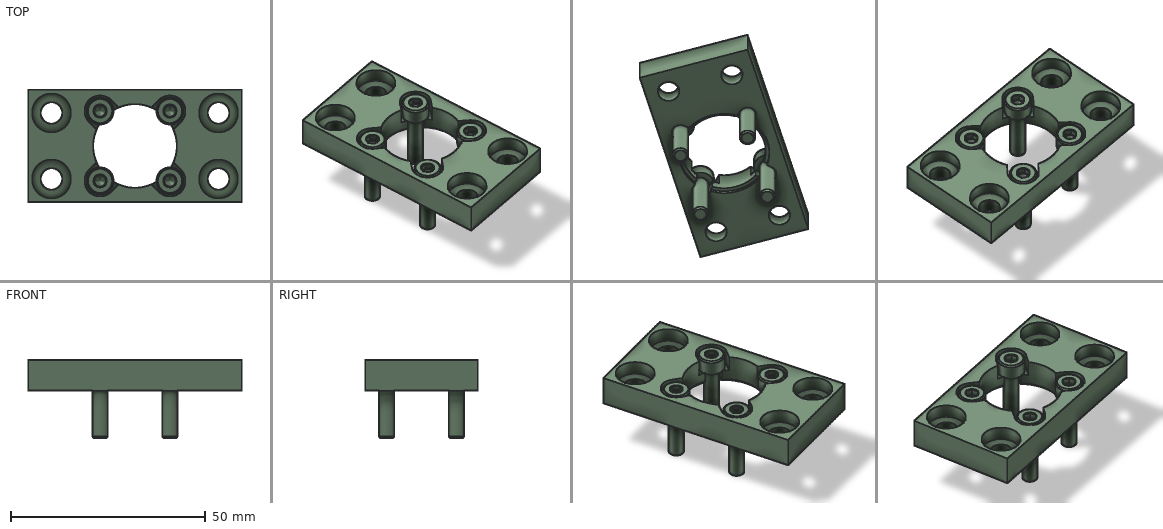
import cadquery as cq
import math

plate_length = 55
plate_width = 29.0
plate_thickness = 8.0
overall_height = 20.2
bore_diameter = 21.5

recess_diameter = 23.3
recess_depth = 1.0

mount_spacing_x = 43.0
mount_spacing_y = 17.0
mount_hole_diameter = 5.5
mount_counterbore_diameter = 10.0
mount_counterbore_depth = 3.75

screw_spacing = 18.0
shank_diameter = 4.0
shank_length = 15.95
tip_chamfer = 0.45
head_diameter = 7.0
head_height = 4.0
head_chamfer = 0.4
socket_flats = 2.95
socket_depth = 2.0
socket_corners = 2 * socket_flats / math.sqrt(3)
socket_cone_slope = 30
socket_cone_depth = socket_flats / 2 * math.tan(math.radians(socket_cone_slope))

seat_width = 8.05
screw_slot_width = 4.5

seat_level = plate_thickness - overall_height + shank_length
seat_depth = plate_thickness - seat_level

half_spacing = screw_spacing / 2
screw_places = [(sx * half_spacing, sy * half_spacing) for sx in (-1, 1) for sy in (-1, 1)]


def make_slot(x, y, width, depth, level):
    """Round-ended slot from the bore axis out to a screw, reaching up from the given level."""
    reach = math.hypot(x, y)
    angle = math.degrees(math.atan2(y, x))
    return (
        cq.Workplane("XY")
        .center(reach / 2, 0)
        .slot2D(reach + width, width)
        .extrude(depth)
        .rotate((0, 0, 0), (0, 0, 1), angle)
        .translate((0, 0, level))
    )


def make_plate():
    """Rectangular plate with a central bore, corner holes and screw slots."""
    plate = cq.Workplane("XY").box(plate_length, plate_width, plate_thickness, centered=(True, True, False))
    plate = plate.faces(">Z").workplane().hole(bore_diameter)
    plate = (
        plate.faces(">Z")
        .workplane()
        .rarray(mount_spacing_x, mount_spacing_y, 2, 2)
        .cboreHole(mount_hole_diameter, mount_counterbore_diameter, mount_counterbore_depth)
    )
    for x, y in screw_places:
        plate = plate.cut(make_slot(x, y, seat_width, seat_depth, seat_level))
        plate = plate.cut(make_slot(x, y, screw_slot_width, plate_thickness, 0))
    recess = cq.Workplane("XY").circle(recess_diameter / 2).extrude(recess_depth)
    return plate.cut(recess)


def make_socket_cutter():
    """Hexagonal socket with a chamfered mouth and a drill-point bottom."""
    hexagon = cq.Workplane("XY").polygon(6, socket_corners).extrude(-socket_depth)
    hexagon = hexagon.rotate((0, 0, 0), (0, 0, 1), 90)
    down = cq.Vector(0, 0, -1)
    mouth_radius = socket_corners / 2
    mouth = cq.Solid.makeCone(mouth_radius, 0, mouth_radius, dir=down)
    point = cq.Solid.makeCone(socket_flats / 2, 0, socket_cone_depth, pnt=down * socket_depth, dir=down)
    return hexagon.union(cq.Workplane(mouth)).union(cq.Workplane(point))


def make_screw(x, y):
    """Cap screw with its head resting on the seat."""
    shank = cq.Workplane("XY").circle(shank_diameter / 2).extrude(-shank_length)
    shank = shank.faces("<Z").chamfer(tip_chamfer)
    head = cq.Workplane("XY").circle(head_diameter / 2).extrude(head_height)
    head = head.faces(">Z").chamfer(head_chamfer)
    socket = make_socket_cutter().translate((0, 0, head_height))
    return head.union(shank).cut(socket).translate((x, y, seat_level))


plate = make_plate()
screws = [make_screw(x, y) for x, y in screw_places]

result = cq.Compound.makeCompound([plate.val(), *[screw.val() for screw in screws]])